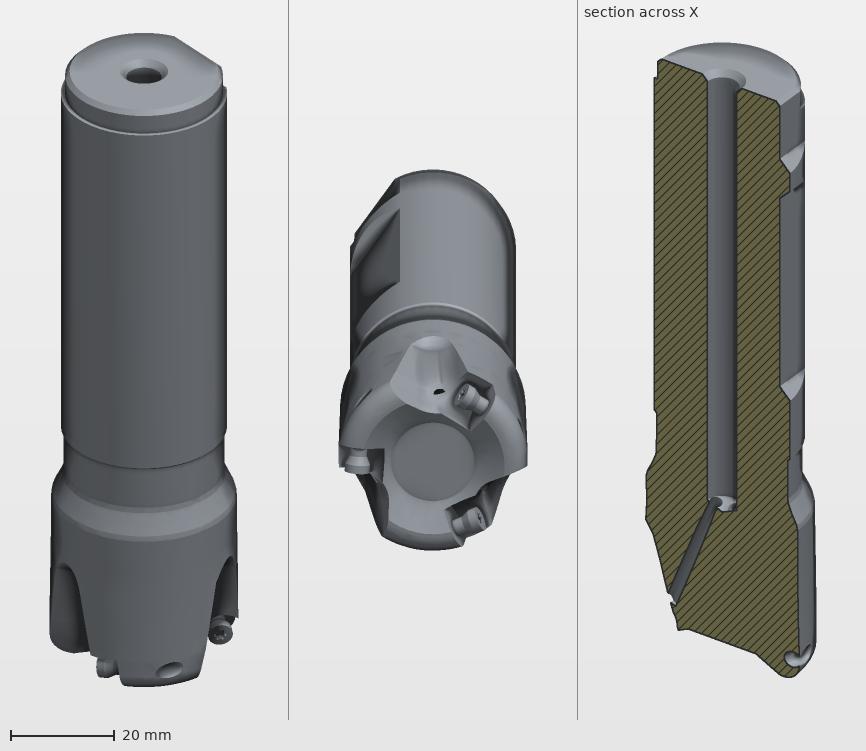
import cadquery as cq
import math

FLUTES = 3
EDGE_MARGIN = 0.1

TOTAL_LENGTH = 128.98
SHANK_R = 16.0
COLLAR_R = 15.2
COLLAR_HEIGHT = 4.8
TOP_CHAMFER = 0.9
NECK_R = 15.5
SHANK_BOTTOM_Z = 49.4
SHANK_CHAMFER = SHANK_R - NECK_R
NECK_BOTTOM_Z = 39.7
HEAD_TOP_R = 17.85
HEAD_TOP_Z = 34.6
SHOULDER_FILLET = 2.6
HEAD_R = 18.23
HEAD_CYLINDER_TOP_Z = 7.1
CORNER_R = 3.7
DISH_R = 13.8
DISH_TOP_R = 8.0
DISH_DEPTH = 2.8

FLAT_Y = 13.6
FLAT_BOTTOM_Z = 65.0
RIDGE_BOTTOM_Z = 107.3
RIDGE_TOP_Z = 116.2
FLAT_RAMP = SHANK_R - FLAT_Y

BORE_R = 3.4
BORE_BOTTOM_Z = 32.0
BORE_CONE_HEIGHT = 1.5
BORE_CHAMFER = 1.25
OUTLET_R = 1.25
OUTLET_OVERRUN = 1.5
OUTLET_START_R = 2.1
OUTLET_START_ANGLE = 124
OUTLET_EXIT = cq.Vector(-10.1, 5.5, 8.8)

FLUTE_LEAN = 11.5
FLUTE_WALL_Y = 2.7
FLUTE_FILLET = 5.4
FLUTE_REACH = 40.0
FLUTE_FLOOR = [(-6.8, -2.0), (-8.6, 5.7), (-9.7, 10.0), (-12.0, 22.8)]
FLUTE_RUNOUT = (-17.8, 31.3)

SEAT_X = -14.4
SEAT_Z = 3.7
SEAT_Y = -2.0
SEAT_R = 5.2
SEAT_DEPTH = 12.0
SEAT_TILT = 8.0
SCREW_R = 1.65
SCREW_HEAD_R = 2.4
SCREW_HEAD_RISE = 5.3
SCREW_HEAD_EDGE = 1.6
SCREW_HEAD_CONE = 1.6
SCREW_GRIP = 4.0
HOLE_LENGTH = 25.0
SOCKET_R = 0.95
SOCKET_LOBES = 6
SOCKET_LOBE_R = 0.35
SOCKET_DEPTH = 1.2


def around_axis(shape, index):
    """Turn a shape to the flute with the given index."""
    return shape.rotate((0, 0, 0), (0, 0, 1), index * 360 / FLUTES)


def shoulder_fillets(body, z):
    """Round the circular edge lying at height z."""
    size = 3 * HEAD_R
    edges = cq.selectors.BoxSelector((-size, -size, z - EDGE_MARGIN), (size, size, z + EDGE_MARGIN))
    return body.edges(edges).fillet(SHOULDER_FILLET)


def turned_body():
    collar_z = TOTAL_LENGTH - COLLAR_HEIGHT
    corner_center_r = HEAD_R - CORNER_R
    corner_mid = (
        corner_center_r + CORNER_R * math.sqrt(0.5),
        CORNER_R - CORNER_R * math.sqrt(0.5),
    )
    profile = (
        cq.Workplane("XZ")
        .moveTo(0, DISH_DEPTH)
        .lineTo(DISH_TOP_R, DISH_DEPTH)
        .lineTo(DISH_R, 0)
        .lineTo(corner_center_r, 0)
        .threePointArc(corner_mid, (HEAD_R, CORNER_R))
        .lineTo(HEAD_R, HEAD_CYLINDER_TOP_Z)
        .lineTo(HEAD_TOP_R, HEAD_TOP_Z)
        .lineTo(NECK_R, NECK_BOTTOM_Z)
        .lineTo(NECK_R, SHANK_BOTTOM_Z - SHANK_CHAMFER)
        .lineTo(SHANK_R, SHANK_BOTTOM_Z)
        .lineTo(SHANK_R, collar_z)
        .lineTo(COLLAR_R, collar_z)
        .lineTo(COLLAR_R, TOTAL_LENGTH)
        .lineTo(0, TOTAL_LENGTH)
        .close()
    )
    body = profile.revolve(360, (0, 0, 0), (0, 1, 0))
    for z in (HEAD_TOP_Z, NECK_BOTTOM_Z):
        body = shoulder_fillets(body, z)
    return body


def clamping_flats():
    """Both flats with their ramps; a ridge of full shank radius stays between them."""
    def flat(points):
        return cq.Workplane("YZ").polyline(points).close().extrude(SHANK_R, both=True)

    lower = flat([
        (FLAT_Y, FLAT_BOTTOM_Z),
        (FLAT_Y + FLAT_RAMP, FLAT_BOTTOM_Z - FLAT_RAMP),
        (FLAT_Y + FLAT_RAMP, RIDGE_BOTTOM_Z + FLAT_RAMP),
        (FLAT_Y, RIDGE_BOTTOM_Z),
    ])
    upper = flat([
        (FLAT_Y, RIDGE_TOP_Z),
        (FLAT_Y + FLAT_RAMP, RIDGE_TOP_Z - FLAT_RAMP),
        (FLAT_Y + FLAT_RAMP, TOTAL_LENGTH),
        (FLAT_Y, TOTAL_LENGTH),
    ])
    return lower.union(upper)


def coolant_bore():
    cone_start_z = BORE_BOTTOM_Z + BORE_CONE_HEIGHT
    profile = (
        cq.Workplane("XZ")
        .moveTo(0, BORE_BOTTOM_Z)
        .lineTo(BORE_R, cone_start_z)
        .lineTo(BORE_R, TOTAL_LENGTH - BORE_CHAMFER)
        .lineTo(BORE_R + BORE_CHAMFER, TOTAL_LENGTH)
        .lineTo(0, TOTAL_LENGTH)
        .close()
    )
    return profile.revolve(360, (0, 0, 0), (0, 1, 0))


def coolant_outlet():
    """Slanted hole from the bore's bottom cone to the flute near the insert seat."""
    angle = math.radians(OUTLET_START_ANGLE)
    start = cq.Vector(
        OUTLET_START_R * math.cos(angle),
        OUTLET_START_R * math.sin(angle),
        BORE_BOTTOM_Z + BORE_CONE_HEIGHT,
    )
    path = OUTLET_EXIT - start
    hole = cq.Solid.makeCylinder(OUTLET_R, path.Length + OUTLET_OVERRUN, start, path)
    return cq.Workplane(obj=hole)


def flute():
    """Swept floor and run-out, rounded into the wall, then leaned about X."""
    outside_x = -FLUTE_REACH
    top_x, top_z = FLUTE_FLOOR[-1]
    slope = (FLUTE_RUNOUT[1] - top_z) / (FLUTE_RUNOUT[0] - top_x)
    outside_top_z = FLUTE_RUNOUT[1] + slope * (outside_x - FLUTE_RUNOUT[0])
    bottom_x, bottom_z = FLUTE_FLOOR[0]
    profile = [(outside_x, bottom_z)] + FLUTE_FLOOR + [(outside_x, outside_top_z)]
    cutter = cq.Workplane("XZ").polyline(profile).close().extrude(-FLUTE_REACH)
    floor_edges = cq.selectors.BoxSelector(
        (outside_x + EDGE_MARGIN, -EDGE_MARGIN, bottom_z + EDGE_MARGIN),
        (bottom_x + EDGE_MARGIN, EDGE_MARGIN, outside_top_z),
    )
    cutter = cutter.edges(floor_edges).fillet(FLUTE_FILLET)
    cutter = cutter.rotate((0, 0, 0), (1, 0, 0), -FLUTE_LEAN)
    return cutter.translate((0, FLUTE_WALL_Y, 0))


def place_on_seat(shape):
    """Move a shape built along +Z from the origin onto the seat, pointing out of the seat floor."""
    upright = shape.rotate((0, 0, 0), (1, 0, 0), -90 - SEAT_TILT)
    return upright.translate((SEAT_X, SEAT_Y, SEAT_Z))


def insert_seat():
    """Round seat with the screw hole running on through the body behind it."""
    seat = cq.Workplane("XY").circle(SEAT_R).extrude(SEAT_DEPTH)
    hole = cq.Workplane("XY").circle(SCREW_R).extrude(-HOLE_LENGTH)
    return place_on_seat(seat.union(hole))


def screw():
    """Countersunk screw with a six-lobe socket."""
    head_edge = SCREW_HEAD_RISE - SCREW_HEAD_EDGE
    blank = (
        cq.Workplane("XZ")
        .moveTo(0, -SCREW_GRIP)
        .lineTo(SCREW_R, -SCREW_GRIP)
        .lineTo(SCREW_R, head_edge - SCREW_HEAD_CONE)
        .lineTo(SCREW_HEAD_R, head_edge)
        .lineTo(SCREW_HEAD_R, SCREW_HEAD_RISE)
        .lineTo(0, SCREW_HEAD_RISE)
        .close()
        .revolve(360, (0, 0, 0), (0, 1, 0))
    )
    top = cq.Workplane("XY").workplane(offset=SCREW_HEAD_RISE)
    core = top.circle(SOCKET_R).extrude(-SOCKET_DEPTH)
    lobes = top.polarArray(SOCKET_R, 0, 360, SOCKET_LOBES).circle(SOCKET_LOBE_R).extrude(-SOCKET_DEPTH)
    return place_on_seat(blank.cut(core).cut(lobes))


def cutter_body():
    body = turned_body().cut(clamping_flats())
    body = body.faces(">Z").edges().chamfer(TOP_CHAMFER)
    body = body.cut(coolant_bore())
    for index in range(FLUTES):
        for feature in (flute(), insert_seat(), coolant_outlet()):
            body = body.cut(around_axis(feature, index))
    return body


body = cutter_body()
screws = [around_axis(screw(), index) for index in range(FLUTES)]

result = cq.Compound.makeCompound([body.val(), *[item.val() for item in screws]])